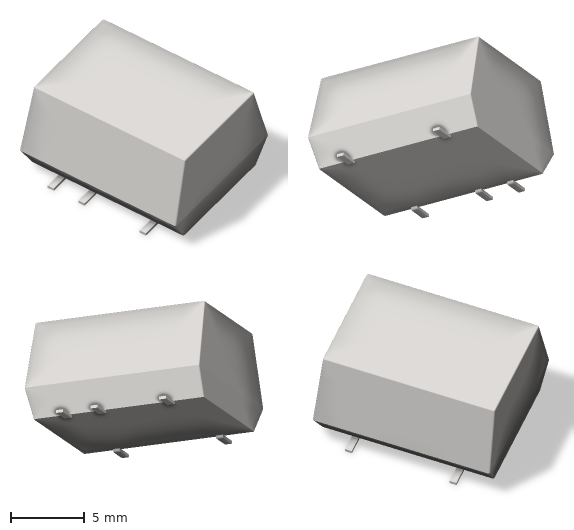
import cadquery as cq

waist_length = 12.9
waist_width = 10.93
top_length = 12.51
top_width = 8.11
base_length = 12.56
base_width = 8.54
total_height = 7.11
waist_height = 1.91
edge_radius = 0.1

lead_span = 11.1
lead_length = 1.52
lead_width = 0.5
lead_thickness = 0.2
lead_bend_radius = 0.15
outer_lead_x = 3.8
inner_lead_x = -outer_lead_x / 3
front_leads_x = (-outer_lead_x, inner_lead_x, outer_lead_x)
rear_leads_x = (-outer_lead_x, outer_lead_x)

underside_z = lead_thickness
waist_z = underside_z + waist_height


def frustum(z_bottom, bottom_size, z_top, top_size):
    """Straight-sided block between two centred rectangles."""
    return (
        cq.Workplane("XY", origin=(0, 0, z_bottom))
        .rect(*bottom_size)
        .workplane(offset=z_top - z_bottom)
        .rect(*top_size)
        .loft(ruled=True)
    )


def make_body():
    """Double-tapered body with rounded corner edges and top rim; waist and underside stay sharp."""
    waist_size = (waist_length, waist_width)
    upper = frustum(waist_z, waist_size, total_height, (top_length, top_width))
    lower = frustum(underside_z, (base_length, base_width), waist_z, waist_size)
    body = upper.union(lower)
    corner_edges = body.edges("not #Z")
    top_rim = body.faces(">Z").edges()
    return body.newObject(corner_edges.vals() + top_rim.vals()).fillet(edge_radius)


def make_lead(x, side):
    """Flat lead at x, pointing along Y to the given side, with a rounded lower inner end."""
    y_center = side * (lead_span - lead_length) / 2
    lead = cq.Workplane("XY").box(lead_length, lead_width, lead_thickness, centered=(True, True, False))
    lead = lead.edges("<X and <Z").fillet(lead_bend_radius)
    return lead.rotate((0, 0, 0), (0, 0, 1), side * 90).translate((x, y_center, 0))


result = make_body()
for side, positions in ((-1, front_leads_x), (1, rear_leads_x)):
    for x in positions:
        result = result.union(make_lead(x, side))